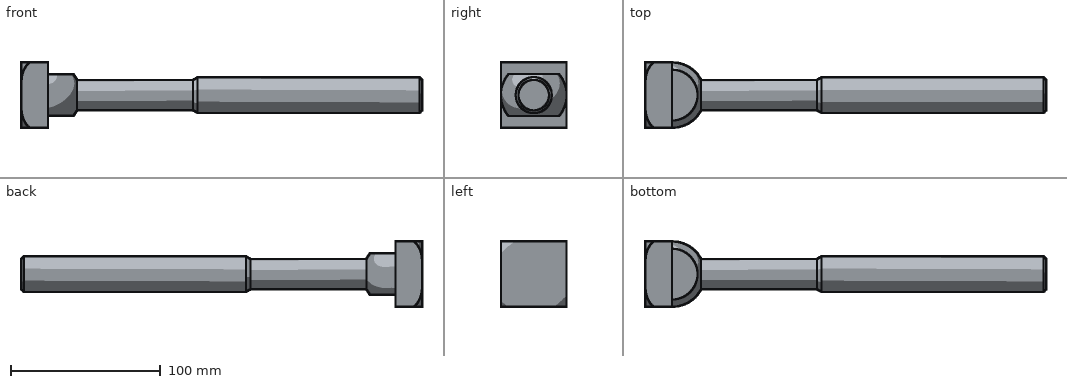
import cadquery as cq
import math

total_length = 268.0
head_width = 44.0
head_thickness = 18.0
head_corner_radius = 10.0

collar_radius = head_width / 2
collar_height = 28.0

shank_radius = 20.5 / 2
thread_radius = 24.0 / 2
thread_start = 114.7
lead_in_angle = 30
thread_step = thread_radius - shank_radius
lead_in_length = thread_step / math.tan(math.radians(lead_in_angle))
end_chamfer = 2.0


def make_head():
    """Square plate whose outer corners are rounded by a turned envelope."""
    plate = cq.Workplane("YZ").rect(head_width, head_width).extrude(head_thickness)
    face_radius = head_width / 2
    envelope_radius = face_radius + head_corner_radius
    arc_offset = head_corner_radius * math.sqrt(0.5)
    envelope = (
        cq.Workplane("XY")
        .lineTo(0, face_radius)
        .threePointArc(
            (head_corner_radius - arc_offset, face_radius + arc_offset),
            (head_corner_radius, envelope_radius),
        )
        .lineTo(head_thickness, envelope_radius)
        .lineTo(head_thickness, 0)
        .close()
        .revolve(360, (0, 0, 0), (1, 0, 0))
    )
    return plate.intersect(envelope)


def make_collar():
    """Half ball centred on the back of the head, cut to two parallel flats."""
    ball = cq.Workplane("XY").sphere(collar_radius).translate((head_thickness, 0, 0))
    slab = (
        cq.Workplane("XY")
        .box(collar_radius, head_width, collar_height, centered=(False, True, True))
        .translate((head_thickness, 0, 0))
    )
    return ball.intersect(slab)


def make_shank():
    """Turned shank with a conical lead-in and a chamfered threaded end."""
    profile = [
        (head_thickness, 0),
        (head_thickness, shank_radius),
        (thread_start, shank_radius),
        (thread_start + lead_in_length, thread_radius),
        (total_length - end_chamfer, thread_radius),
        (total_length, thread_radius - end_chamfer),
        (total_length, 0),
    ]
    return cq.Workplane("XY").polyline(profile).close().revolve(360, (0, 0, 0), (1, 0, 0))


result = make_head().union(make_collar()).union(make_shank())